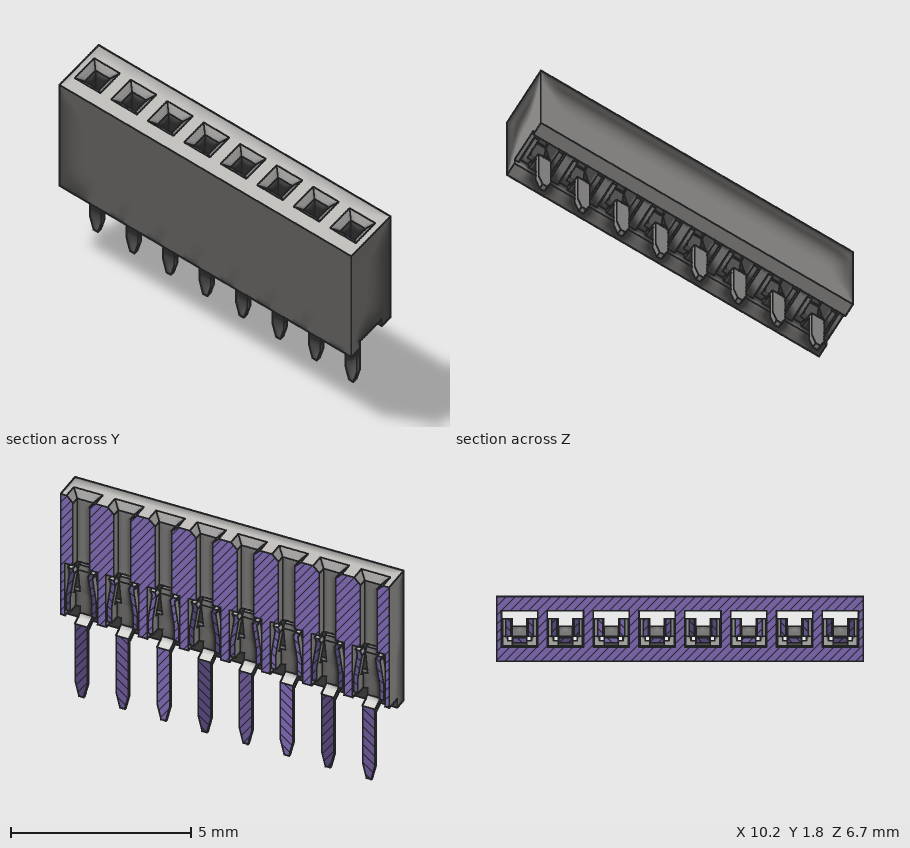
import cadquery as cq
import math

pin_count = 8
pitch = 1.27
pin_positions = [(i - (pin_count - 1) / 2) * pitch for i in range(pin_count)]

pin_width = 0.4
pin_thickness = 0.15
pin_drop = 2.3
tip_length = 0.5
tip_width = 0.15
crank_angle = math.radians(26.5)

band_inner = 0.33
band_outer = band_inner + pin_thickness
leaf_width = pin_width
grip = 0.2
band_bottom = 0.51
band_top = 1.02
grip_height = 1.83
flare_height = 0.14
flare_angle = math.radians(22)
flare_run = flare_height * math.tan(flare_angle)
contact_top = grip_height + flare_height
side_leaf_front = 0.28

housing_length = pin_count * pitch
housing_width = 1.8
housing_height = 4.4
slot_width = 1.0
slot_depth = 0.3

hole_size = 0.5
mouth_size = 0.89
mouth_depth = (mouth_size - hole_size) / 2
pocket_size = slot_width
contact_headroom = 0.1
pocket_top = contact_top + contact_headroom

lower_bend_y = -pin_thickness / 2
lower_bend_z = 0.0
upper_bend_y = -band_inner
crank_run = lower_bend_y - upper_bend_y
crank_length = (crank_run + pin_thickness * math.sin(crank_angle)) / math.cos(crank_angle)
crank_rise = crank_length * math.sin(crank_angle) + pin_thickness * math.cos(crank_angle)
upper_bend_z = lower_bend_z + crank_rise


def on_bend(y, z, angle):
    """Point on the round side of the bend centred at (y, z), at an angle from +Y towards +Z."""
    return (y + pin_thickness * math.cos(angle), z + pin_thickness * math.sin(angle))


def make_tail():
    """Cranked strip from the tapered tip up to the top of the band."""
    lower_end = math.pi / 2 - crank_angle
    upper_end = lower_end - math.pi
    strip = (
        cq.Workplane("YZ")
        .moveTo(-pin_thickness / 2, -pin_drop)
        .lineTo(pin_thickness / 2, -pin_drop)
        .lineTo(pin_thickness / 2, lower_bend_z)
        .threePointArc(
            on_bend(lower_bend_y, lower_bend_z, lower_end / 2),
            on_bend(lower_bend_y, lower_bend_z, lower_end),
        )
        .lineTo(upper_bend_y, upper_bend_z)
        .lineTo(-band_inner, band_top)
        .lineTo(-band_outer, band_top)
        .lineTo(-band_outer, upper_bend_z)
        .threePointArc(
            on_bend(upper_bend_y, upper_bend_z, (upper_end - math.pi) / 2),
            on_bend(upper_bend_y, upper_bend_z, upper_end),
        )
        .lineTo(lower_bend_y, lower_bend_z)
        .close()
        .extrude(pin_width / 2, both=True)
    )
    front_outline = (
        cq.Workplane("XZ")
        .moveTo(-tip_width / 2, -pin_drop)
        .lineTo(tip_width / 2, -pin_drop)
        .lineTo(pin_width / 2, tip_length - pin_drop)
        .lineTo(pin_width / 2, band_top)
        .lineTo(-pin_width / 2, band_top)
        .lineTo(-pin_width / 2, tip_length - pin_drop)
        .close()
        .extrude(housing_width / 2, both=True)
    )
    return strip.intersect(front_outline)


def make_band():
    """Three-sided band, open towards +Y."""
    return (
        cq.Workplane("XY", origin=(0, 0, band_bottom))
        .moveTo(-band_outer, -band_outer)
        .lineTo(band_outer, -band_outer)
        .lineTo(band_outer, side_leaf_front)
        .lineTo(band_inner, side_leaf_front)
        .lineTo(band_inner, -band_inner)
        .lineTo(-band_inner, -band_inner)
        .lineTo(-band_inner, side_leaf_front)
        .lineTo(-band_outer, side_leaf_front)
        .close()
        .extrude(band_top - band_bottom)
    )


def make_leaf(left_edge, right_edge):
    """Leaf above the -Y wall of the band, between two X positions."""
    return (
        cq.Workplane("YZ", origin=(left_edge, 0, 0))
        .moveTo(-band_inner, band_top)
        .lineTo(-grip, grip_height)
        .lineTo(-grip - flare_run, contact_top)
        .lineTo(-grip - flare_run - pin_thickness, contact_top)
        .lineTo(-grip - pin_thickness, grip_height)
        .lineTo(-band_outer, band_top)
        .close()
        .extrude(right_edge - left_edge)
    )


def make_pin():
    back_leaf = make_leaf(-leaf_width / 2, leaf_width / 2)
    right_leaf = make_leaf(-grip, side_leaf_front).rotate((0, 0, 0), (0, 0, 1), 90)
    left_leaf = right_leaf.mirror("YZ")
    return make_tail().union(make_band()).union(back_leaf).union(right_leaf).union(left_leaf)


def make_socket():
    """Cutter for one hole, its funnel mouth and the pocket around the contact."""
    hole = cq.Workplane("XY").rect(hole_size, hole_size).extrude(housing_height)
    mouth = (
        cq.Workplane("XY", origin=(0, 0, housing_height - mouth_depth))
        .rect(hole_size, hole_size)
        .workplane(offset=mouth_depth)
        .rect(mouth_size, mouth_size)
        .loft()
    )
    pocket = cq.Workplane("XY").rect(pocket_size, pocket_size).extrude(pocket_top)
    return hole.union(mouth).union(pocket)


def make_housing():
    body = cq.Workplane("XY").box(
        housing_length, housing_width, housing_height, centered=(True, True, False)
    )
    slot = cq.Workplane("XY").box(
        housing_length, slot_width, slot_depth, centered=(True, True, False)
    )
    body = body.cut(slot)
    socket = make_socket()
    for x in pin_positions:
        body = body.cut(socket.translate((x, 0, 0)))
    return body


housing = make_housing()
pin = make_pin()
pins = [pin.translate((x, 0, 0)) for x in pin_positions]

result = cq.Compound.makeCompound([housing.val(), *[placed.val() for placed in pins]])